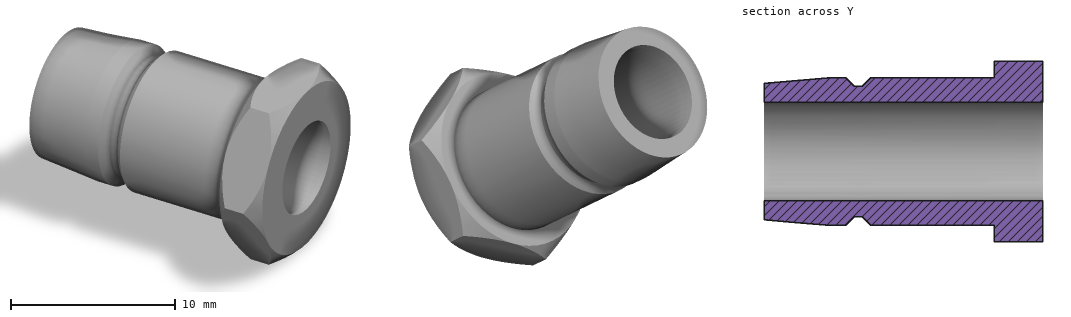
import cadquery as cq
import math

total_length = 17.0
head_length = 3.0
across_flats = 11.0
shank_radius = 4.5
bore_radius = 3.0
nose_radius = 4.16
nose_length = 4.0
groove_radius = 4.0
groove_start = 5.0
groove_floor_width = 0.5

groove_depth = shank_radius - groove_radius
floor_start = groove_start + groove_depth
floor_end = floor_start + groove_floor_width
groove_end = floor_end + groove_depth
head_start = total_length - head_length
flat_radius = across_flats / 2
corner_radius = flat_radius / math.cos(math.pi / 6)
chamfer = corner_radius - flat_radius


def revolve_about_x(profile):
    return profile.close().revolve(360, (0, 0, 0), (1, 0, 0))


def make_shank():
    """Cylinder with a conical nose and a groove with 45 degree sides."""
    profile = (
        cq.Workplane("XZ")
        .moveTo(0, 0)
        .lineTo(0, nose_radius)
        .lineTo(nose_length, shank_radius)
        .lineTo(groove_start, shank_radius)
        .lineTo(floor_start, groove_radius)
        .lineTo(floor_end, groove_radius)
        .lineTo(groove_end, shank_radius)
        .lineTo(total_length, shank_radius)
        .lineTo(total_length, 0)
    )
    return revolve_about_x(profile)


def make_head():
    """Hexagon with corners along Y, its corners chamfered conically at both faces."""
    hexagon = (
        cq.Workplane("YZ")
        .workplane(offset=head_start)
        .polygon(6, 2 * corner_radius)
        .extrude(head_length)
    )
    chamfer_envelope = (
        cq.Workplane("XZ")
        .moveTo(head_start, 0)
        .lineTo(head_start, flat_radius)
        .lineTo(head_start + chamfer, corner_radius)
        .lineTo(total_length - chamfer, corner_radius)
        .lineTo(total_length, flat_radius)
        .lineTo(total_length, 0)
    )
    return hexagon.intersect(revolve_about_x(chamfer_envelope))


bore = cq.Workplane("YZ").circle(bore_radius).extrude(total_length)
result = make_shank().union(make_head()).cut(bore)